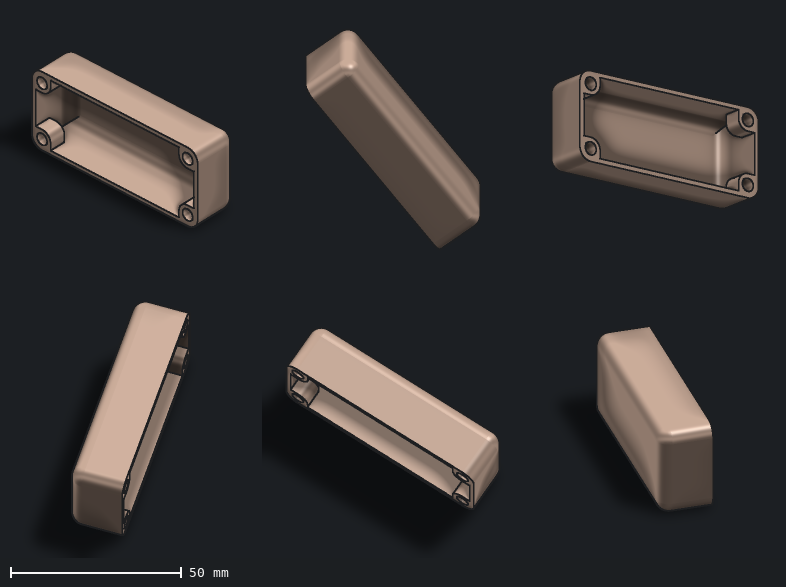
import cadquery as cq

length = 66.0
depth = 16.5
height = 28.0
corner_radius = 4.0

wall = 1.5
floor_thickness = 1.5
cavity_depth = depth - floor_thickness
floor_fillet = corner_radius

post_inset = corner_radius
post_radius = 3.4
post_depth = 6.0
hole_diameter = 4.0
hole_depth = 5.0


def block(size_x, size_y, size_z):
    """Box centred in X and Z that starts at the open face, Y = 0."""
    return cq.Workplane("XY").box(size_x, size_y, size_z, centered=(True, False, True))


def make_shell():
    shell = block(length, depth, height).edges("|Y").fillet(corner_radius)
    return shell.faces(">Y").edges().fillet(corner_radius)


def make_cavity():
    cavity = block(length - 2 * wall, cavity_depth, height - 2 * wall)
    return cavity.faces(">Y").edges().fillet(floor_fillet)


def make_post(side_x, side_z):
    """Square corner block with its inward corner rounded about the screw axis."""
    reach = post_inset + post_radius
    post = (
        block(reach, post_depth, reach)
        .edges("|Y and >X and >Z")
        .fillet(post_radius)
        .translate((reach / 2 - length / 2, 0, reach / 2 - height / 2))
    )
    if side_x > 0:
        post = post.mirror("YZ")
    if side_z > 0:
        post = post.mirror("XY")
    return post


def make_hole(side_x, side_z):
    centre_x = side_x * (length / 2 - post_inset)
    centre_z = side_z * (height / 2 - post_inset)
    return (
        cq.Workplane("XZ")
        .center(centre_x, centre_z)
        .circle(hole_diameter / 2)
        .extrude(-hole_depth)
    )


corners = [(side_x, side_z) for side_x in (-1, 1) for side_z in (-1, 1)]

cavity = make_cavity()
for side_x, side_z in corners:
    cavity = cavity.cut(make_post(side_x, side_z))

result = make_shell().cut(cavity)
for side_x, side_z in corners:
    result = result.cut(make_hole(side_x, side_z))